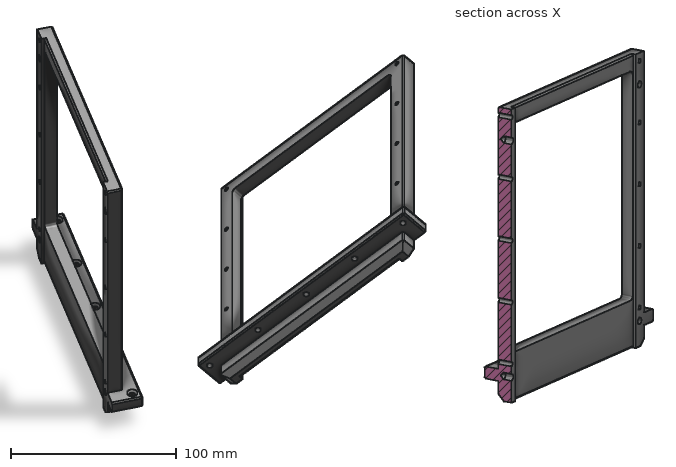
import cadquery as cq

frame_width = 151.5
frame_height = 185.0
frame_depth = 9.6
edge_chamfer = 1.0
bottom_corner_run = 4.5
bottom_corner_rise = 4.0
back_bevel_size = 4.0

window_width = 131.0
window_bottom = 30.3
window_top = 174.6
window_radius = 2.5

channel_width = 132.0
channel_depth = 1.8
channel_chamfer = 1.1

bar_width = 171.0
bar_depth = 19.5
bar_height = 8.0
bar_center_z = 16.1
bar_chamfer = 1.0

bar_hole_count = 5
bar_hole_pitch = 40.0
bar_hole_y = 14.2
bar_hole_diameter = 3.5
countersink_diameter = 6.3
countersink_angle = 90

stile_hole_x = 70.5
through_hole_diameter = 2.5
through_hole_count = 5
through_hole_pitch = 38.8
lowest_through_hole_z = 24.5
blind_hole_diameter = 4.0
blind_hole_depth = 5.5
blind_tip_depth = 2.0
blind_hole_heights = (bar_center_z, 165.0)


def make_frame():
    """Plate with a window, cut-off bottom corners and chamfers on its back and top edges."""
    half_width = frame_width / 2
    slant_start = half_width - bottom_corner_run
    outline = [
        (-slant_start, 0),
        (slant_start, 0),
        (half_width, bottom_corner_rise),
        (half_width, frame_height),
        (-half_width, frame_height),
        (-half_width, bottom_corner_rise),
    ]
    plate = cq.Workplane("XZ").polyline(outline).close().extrude(-frame_depth)
    plate = plate.edges("(>Z and |Y) or (>Z and >Y) or (|Z and >Y)").chamfer(edge_chamfer)

    back_bevel = (
        cq.Workplane("YZ")
        .moveTo(frame_depth, 0)
        .lineTo(frame_depth, back_bevel_size)
        .lineTo(frame_depth - back_bevel_size, 0)
        .close()
        .extrude(half_width, both=True)
    )
    window = (
        cq.Workplane("XZ")
        .center(0, (window_bottom + window_top) / 2)
        .rect(window_width, window_top - window_bottom)
        .extrude(-frame_depth)
        .edges("|Y")
        .fillet(window_radius)
    )
    return plate.cut(back_bevel).cut(window)


def make_channel():
    """Cutter for the front channel, deepening in a chamfer at its top and bottom ends."""
    end_depth = channel_depth + channel_chamfer
    side_profile = [
        (0, 0),
        (end_depth, 0),
        (channel_depth, channel_chamfer),
        (channel_depth, frame_height - channel_chamfer),
        (end_depth, frame_height),
        (0, frame_height),
    ]
    return (
        cq.Workplane("YZ")
        .polyline(side_profile)
        .close()
        .extrude(channel_width / 2, both=True)
    )


def make_bar():
    """Cross bar with every edge chamfered except those of the front face."""
    return (
        cq.Workplane("XY")
        .box(bar_width, bar_depth, bar_height)
        .translate((0, bar_depth / 2, bar_center_z))
        .edges("not <Y")
        .chamfer(bar_chamfer)
    )


def drill_bar(body):
    """Row of countersunk holes straight down through the bar."""
    bar_top = bar_center_z + bar_height / 2
    bar_top_face = cq.selectors.NearestToPointSelector((0, bar_hole_y, bar_top))
    return (
        body.faces(bar_top_face)
        .workplane(origin=(0, bar_hole_y, 0))
        .rarray(bar_hole_pitch, 1.8, bar_hole_count, 1)
        .cskHole(bar_hole_diameter, countersink_diameter, countersink_angle)
    )


def drill_stiles(body):
    """Small through holes and larger blind holes with conical ends in both stiles."""
    tip_profile = [
        (0, 0),
        (blind_hole_diameter / 2, 0),
        (blind_hole_diameter / 2, blind_hole_depth),
        (0, blind_hole_depth + blind_tip_depth),
    ]
    drill = cq.Workplane("XY").polyline(tip_profile).close().revolve(360, (0, 0), (0, 1))
    through_hole = cq.Workplane("XZ").circle(through_hole_diameter / 2).extrude(-frame_depth)

    for x in (-stile_hole_x, stile_hole_x):
        for z in blind_hole_heights:
            body = body.cut(drill.translate((x, 0, z)))
        for i in range(through_hole_count):
            z = lowest_through_hole_z + i * through_hole_pitch
            body = body.cut(through_hole.translate((x, 0, z)))
    return body


result = make_frame().union(make_bar()).cut(make_channel())
result = drill_stiles(drill_bar(result))